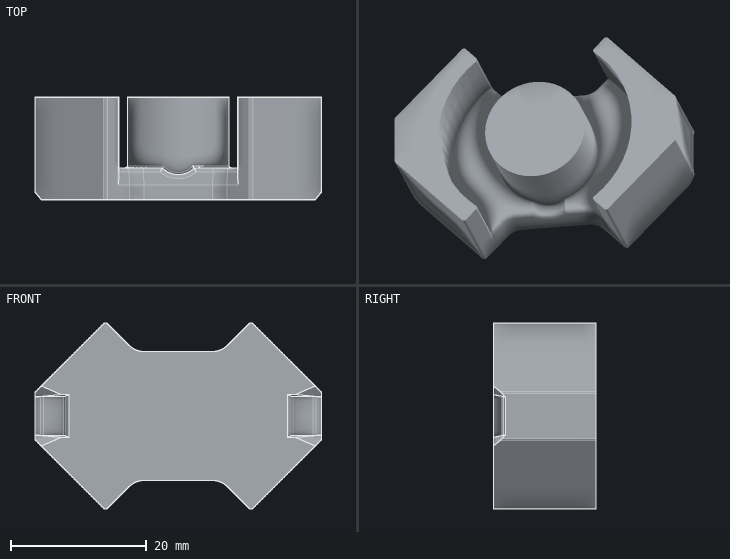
import cadquery as cq
import math

half_length = 21.1
depth = 15.1
side_sum = 24.57
flank_offset = 3.2
notch_half_height = 9.5
notch_fillet = 3.0
corner_fillet = 0.4

floor_y = 4.7
window_radius = 14.5
post_radius = 7.5
post_base_fillet = 0.3
arm_edge_fillet = 0.4
floor_edge_fillet = 0.65

rim_start_y = 2.15
rim_draft = 4.0

channel_depth = 1.0
channel_half_width = 2.35

pocket_floor_y = 1.38
pocket_lip_y = 1.8
pocket_lip_length = 1.05
pocket_inner_x = 16.1
pocket_inner_run = 0.6
pocket_lip_fillet = 1.3
pocket_inner_fillet = 0.3
pocket_mouth_half_width = 3.15
pocket_floor_half_width = 2.87
flare_edge_z = 4.42
flare_slope_x = 0.438
flare_slope_y = 1.19

end_z = side_sum - half_length
tip_z = (side_sum + flank_offset) / 2
tip_x = side_sum - tip_z
notch_x = notch_half_height - flank_offset

margin = 2.0
arm_overlap = 1.0
tolerance = 0.01


def back_plane(y):
    """Workplane at height y, drawn in X and Z and extruded along +Y."""
    return cq.Workplane("XZ", origin=(0, y, 0))


def extrude_up(sketch, length):
    """Extrude an XZ sketch along +Y."""
    return sketch.extrude(-length)


def edges_along_y_at(body, corners):
    """Edges along Y that pass through any of the given (x, z) corners."""
    picked = []
    for edge in body.edges("|Y").vals():
        center = edge.Center()
        if any(math.hypot(center.x - x, center.z - z) < tolerance for x, z in corners):
            picked.append(edge)
    return body.newObject(picked)


def mirrored_corners(x, z):
    return [(sx * x, sz * z) for sx in (1, -1) for sz in (1, -1)]


def make_block(length):
    """The body outline extruded from the back face."""
    quarter = [(half_length, end_z), (tip_x, tip_z), (notch_x, notch_half_height)]
    upper = quarter + [(-x, z) for x, z in reversed(quarter)]
    lower = [(-x, -z) for x, z in upper]
    block = extrude_up(back_plane(0).polyline(upper + lower).close(), length)
    outer_corners = mirrored_corners(half_length, end_z) + mirrored_corners(tip_x, tip_z)
    block = edges_along_y_at(block, outer_corners).fillet(corner_fillet)
    return edges_along_y_at(block, mirrored_corners(notch_x, notch_half_height)).fillet(notch_fillet)


def notch_outline(y, growth):
    """Closed outline of the upper notch at height y, grown outward by growth."""
    top_z = tip_z + margin
    bottom_z = notch_half_height - growth
    offset = flank_offset - growth * math.sqrt(2)
    bottom_x = bottom_z - offset
    half_turn = math.pi / 8
    tangent = notch_fillet * math.tan(half_turn)
    start = (bottom_x - tangent, bottom_z)
    middle = (
        start[0] + notch_fillet * math.sin(half_turn),
        bottom_z + notch_fillet * (1 - math.cos(half_turn)),
    )
    end = (bottom_x + tangent * math.sqrt(0.5), bottom_z + tangent * math.sqrt(0.5))
    sketch = back_plane(y).moveTo(*start).threePointArc(middle, end)
    sketch = sketch.lineTo(top_z - offset, top_z).lineTo(offset - top_z, top_z)
    sketch = sketch.lineTo(-end[0], end[1])
    sketch = sketch.threePointArc((-middle[0], middle[1]), (-start[0], start[1]))
    return sketch.close().wires().val()


def make_rim_trim():
    """Space swept by the notch outline as it grows from the rim foot to the floor."""
    recess = (floor_y - rim_start_y) * math.tan(math.radians(rim_draft))
    outlines = [notch_outline(rim_start_y, 0), notch_outline(floor_y, recess)]
    return cq.Workplane(cq.Solid.makeLoft(outlines, True))


def make_channel():
    """Round-bottomed wire channel along Z over the full floor."""
    radius = (channel_half_width**2 + channel_depth**2) / (2 * channel_depth)
    length = 2 * (notch_half_height + margin)
    center_y = floor_y - channel_depth + radius
    return cq.Workplane("XY").center(0, center_y).circle(radius).extrude(length / 2, both=True)


def make_plate():
    """Back plate with leaning rim, wire channel and rounded floor edges."""
    trim = make_rim_trim()
    plate = make_block(floor_y).cut(trim).cut(trim.mirror("XY")).cut(make_channel())
    upper_edges = cq.selectors.BoxSelector(
        (-tip_x, floor_y - channel_depth, post_radius), (tip_x, depth, tip_z)
    )
    lower_edges = cq.selectors.BoxSelector(
        (-tip_x, floor_y - channel_depth, -post_radius), (tip_x, depth, -tip_z)
    )
    plate = plate.edges(upper_edges + lower_edges).fillet(floor_edge_fillet)
    return plate.intersect(extrude_up(back_plane(0).circle(window_radius + arm_overlap), depth))


def make_arms():
    """The two outer arms, bored by the window, with rounded inner edges."""
    bore = extrude_up(back_plane(0).circle(window_radius), depth)
    arms = make_block(depth).cut(bore)
    half_chord = math.sqrt(2 * window_radius**2 - flank_offset**2) / 2
    inner_x = half_chord - flank_offset / 2
    inner_z = half_chord + flank_offset / 2
    return edges_along_y_at(arms, mirrored_corners(inner_x, inner_z)).fillet(arm_edge_fillet)


def add_post(plate):
    """Center post, blended into the floor and the wire channels."""
    core = plate.union(extrude_up(back_plane(0).circle(post_radius), depth))
    base_edges = []
    for edge in core.edges().vals():
        ends = [edge.startPoint(), edge.endPoint()]
        on_post = all(abs(math.hypot(p.x, p.z) - post_radius) < tolerance for p in ends)
        if on_post and all(p.y < floor_y + tolerance for p in ends):
            base_edges.append(edge)
    return core.newObject(base_edges).fillet(post_base_fillet)


def make_pocket_recess():
    """Shallow pocket at the +X end with a deeper lip and side walls that lean inward."""
    open_x = half_length + margin
    lip_drop = (pocket_lip_y - pocket_floor_y) / pocket_lip_length
    points = [
        (pocket_inner_x, 0),
        (pocket_inner_x + pocket_inner_run, pocket_floor_y),
        (half_length - pocket_lip_length, pocket_floor_y),
        (open_x, pocket_lip_y + lip_drop * margin),
        (open_x, 0),
    ]
    section = cq.Workplane("XY").polyline(points).close().extrude(pocket_mouth_half_width, both=True)
    inner_corner = cq.NearestToPointSelector((pocket_inner_x + pocket_inner_run, pocket_floor_y, 0))
    lip_corner = cq.NearestToPointSelector((half_length - pocket_lip_length, pocket_floor_y, 0))
    section = section.edges(inner_corner).fillet(pocket_inner_fillet)
    section = section.edges(lip_corner).fillet(pocket_lip_fillet)
    lean = (pocket_mouth_half_width - pocket_floor_half_width) / pocket_floor_y
    top_y = pocket_lip_y + margin
    top_half_width = pocket_mouth_half_width - lean * top_y
    walls = [
        (0, -pocket_mouth_half_width),
        (0, pocket_mouth_half_width),
        (top_y, top_half_width),
        (top_y, -top_half_width),
    ]
    return section.intersect(cq.Workplane("YZ").polyline(walls).close().extrude(open_x))


def make_flare():
    """Sloped relief that opens the upper pocket wall toward the +X end."""
    open_x = half_length + margin
    edge_x = side_sum - flare_edge_z
    base_z = pocket_floor_half_width
    rise = flare_edge_z + flare_slope_x * (open_x - edge_x) - base_z
    tip = cq.Vector(open_x - rise / flare_slope_x, 0, base_z)
    corner = cq.Vector(open_x, 0, base_z)
    high = cq.Vector(open_x, 0, base_z + rise)
    deep = cq.Vector(open_x, rise / flare_slope_y, base_z)
    triangles = [(tip, corner, high), (tip, deep, corner), (corner, deep, high), (tip, high, deep)]
    faces = [cq.Face.makeFromWires(cq.Wire.makePolygon(list(t), close=True)) for t in triangles]
    return cq.Workplane(cq.Solid.makeSolid(cq.Shell.makeShell(faces)))


def cut_pockets(body):
    flare = make_flare()
    pocket = make_pocket_recess().union(flare).union(flare.mirror("XY"))
    return body.cut(pocket).cut(pocket.mirror("YZ"))


plate_with_post = add_post(make_plate())
result = cut_pockets(plate_with_post.union(make_arms()))